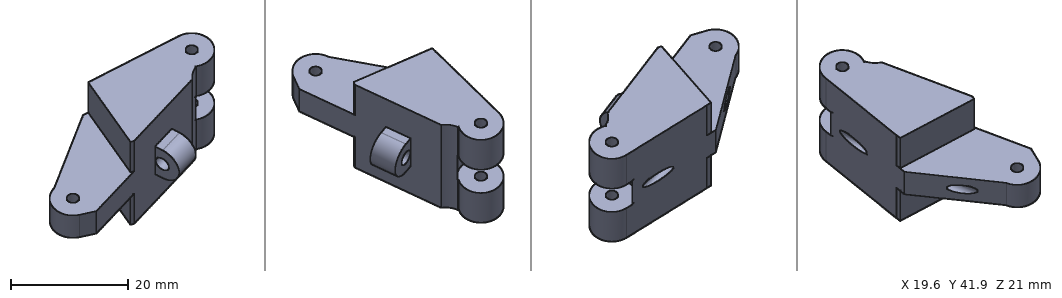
import cadquery as cq
import math


pin_diameter = 2.12
knuckle_radius = 3.88
tongue_radius = 3.98
tongue_pin = (-0.13, -34.0)

body_height = 21.0
heel = (-10.14, -17.53)
flank_top_right = (4.12, -5.4)
tongue_corner_offset = 5.0
tongue_corner = (tongue_pin[0] + tongue_corner_offset, tongue_pin[1])
relief_start = (2.95, -2.74)
relief_middle = (3.27, -4.12)
knuckle_end_angle = math.radians(-45)

cheek_left_upper = (-9.47, -15.66)
cheek_left = (-9.78, -16.52)
cheek_right = (4.21, -23.33)
cheek_right_upper = (4.6, -22.7)
cheek_limit_reach = 30.0

tongue_thickness = 5.7
slot_height = 5.9
slot_radius = 4.08

eyelet_radius = 3.5
eyelet_hole_diameter = 2.75
eyelet_width = 5.0
eyelet_axis_x = 5.87
eyelet_middle_y = -14.0
eyelet_root_x = 2.0

tendon_diameter = 2.0
tendon_upper = (-5.96, -5.50)
tendon_lower = (-6.70, -26.97)
tendon_overrun = 8.0


def polar(center, radius, angle):
    return (center[0] + radius * math.cos(angle), center[1] + radius * math.sin(angle))


def layer(profile, height):
    return profile.extrude(height / 2, both=True)


def make_outline():
    heel_distance = math.hypot(*heel)
    heel_angle = math.atan2(heel[1], heel[0])
    knuckle_tangent = polar((0, 0), knuckle_radius, heel_angle - math.acos(knuckle_radius / heel_distance))
    bevel_angle = -math.acos(tongue_radius / tongue_corner_offset)
    tongue_tangent = polar(tongue_pin, tongue_radius, bevel_angle)
    tongue_bottom = polar(tongue_pin, tongue_radius, -math.pi / 2)
    tongue_left = polar(tongue_pin, tongue_radius, math.pi)
    knuckle_end = polar((0, 0), knuckle_radius, knuckle_end_angle)
    return (
        cq.Workplane("XY")
        .moveTo(*knuckle_tangent)
        .threePointArc((0, knuckle_radius), knuckle_end)
        .lineTo(*relief_start)
        .threePointArc(relief_middle, flank_top_right)
        .lineTo(*tongue_corner)
        .lineTo(*tongue_tangent)
        .threePointArc(tongue_bottom, tongue_left)
        .lineTo(*heel)
        .close()
    )


def make_cheek_limit():
    return layer(
        cq.Workplane("XY").polyline([
            (-cheek_limit_reach, cheek_left_upper[1]),
            cheek_left_upper,
            cheek_left,
            cheek_right,
            cheek_right_upper,
            (cheek_limit_reach, cheek_right_upper[1]),
            (cheek_limit_reach, cheek_limit_reach),
            (-cheek_limit_reach, cheek_limit_reach),
        ]).close(),
        body_height,
    )


def make_body():
    cheeks = layer(make_outline(), body_height).intersect(make_cheek_limit())
    tongue = layer(make_outline(), tongue_thickness)
    slot = layer(cq.Workplane("XY").circle(slot_radius), slot_height)
    return cheeks.union(tongue).cut(slot)


def make_eyelet():
    lean = math.degrees(math.atan2(
        tongue_corner[0] - flank_top_right[0], flank_top_right[1] - tongue_corner[1]))
    arm_length = eyelet_axis_x - eyelet_root_x
    eye = layer(cq.Workplane("XZ").circle(eyelet_radius), eyelet_width)
    arm = layer(
        cq.Workplane("XZ").center(-arm_length / 2, 0).rect(arm_length, 2 * eyelet_radius),
        eyelet_width,
    )
    hole = layer(cq.Workplane("XZ").circle(eyelet_hole_diameter / 2), eyelet_width)
    eyelet = eye.union(arm).cut(hole)
    return eyelet.rotate((0, 0, 0), (0, 0, 1), lean).translate((eyelet_axis_x, eyelet_middle_y, 0))


def make_tendon_hole():
    direction = cq.Vector(tendon_upper[0] - tendon_lower[0], tendon_upper[1] - tendon_lower[1], 0)
    start = cq.Vector(*tendon_lower, 0) - direction.normalized() * tendon_overrun
    length = direction.Length + 2 * tendon_overrun
    return cq.Workplane(obj=cq.Solid.makeCylinder(tendon_diameter / 2, length, start, direction))


def make_pin_holes():
    return layer(
        cq.Workplane("XY").pushPoints([(0, 0), tongue_pin]).circle(pin_diameter / 2),
        body_height,
    )


result = (
    make_body()
    .union(make_eyelet())
    .cut(make_pin_holes())
    .cut(make_tendon_hole())
)